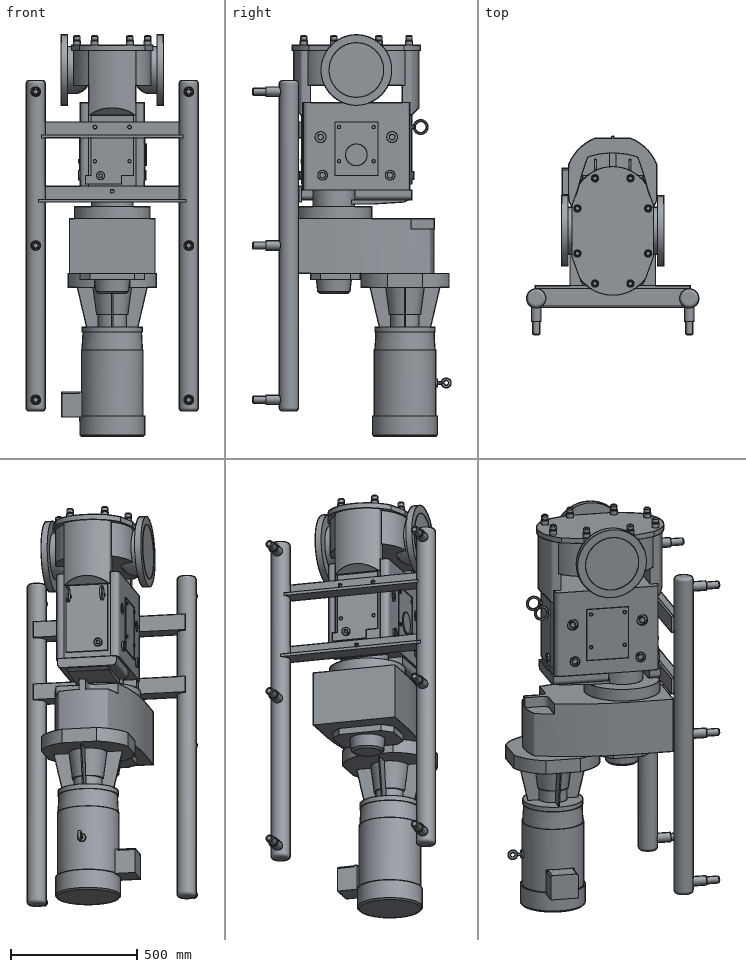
import cadquery as cq
import math


pump_y = 19.0
output_y = -70.0
motor_y = 211.0
post_spacing = 605.0
post_x = post_spacing / 2
post_y = -248.0

motor_top = 432.0
reducer_top = 910.0
height = 1590.0

bell_dia = 258.0
bell_height = 81.0
bell_chamfer = 6.0
stator_dia = 245.0
stator_top = 342.0
neck_low_dia = 240.0
neck_high_dia = 232.0
cap_dia = 238.0
cap_bottom = 413.0
box_reach = 200.0
box_width = 111.0
box_bottom = 76.0
box_top = 176.0
box_chamfer = 6.0
box_flange_reach = 132.0
box_inner = 120.0
motor_eye_z = 211.0
motor_eye_mean_dia = 29.0
motor_eye_wire_dia = 10.7
motor_eye_collar_dia = 32.0
motor_eye_collar_thick = 6.0
eye_y_max = 395.0

adapter_half = 175.0
adapter_dia = 377.0
adapter_bottom = 590.0
case_bottom = 645.0
case_top = 862.0
case_half = 170.0
case_front = -238.0
case_back = 328.0
case_corner_x = 99.0
case_corner_y = 312.0
case_corner_round = 13.0
pocket_front = 235.0
pocket_floor = 820.0
pocket_round = 22.0
rib_width = 25.0
web_thick = 5.0
web_top_half = 138.0
web_low_half = 102.0
throat_dia = 113.0
throat_top = 482.0
cone_low_dia = 124.0
cone_high_dia = 153.0
collar_dia = 300.0
output_plate_half = 127.0
output_plate_front = -162.0
output_plate_back = 35.0
output_plate_chamfer = 40.0
output_plate_bottom = 620.0
output_cap_bottom = 566.0
output_cap_high_dia = 140.0
output_cap_low_dia = 127.0
output_cap_chamfer = 8.0

gear_half_x = 127.0
gear_half_y = 210.0
gear_bottom = 975.0
gear_top = 1321.0
gear_round = 19.0
shoulder_half = 94.0
shoulder_depth = 3.0
end_pad_half = 85.0
end_pad_back = 238.0
end_pad_bottom = 999.0
end_pad_top = 1270.0
end_pad_step = 1033.0
foot_left = -105.0
foot_right = 37.0
pump_front = -197.0
sump_bottom = 937.0
sump_half = 120.0
sump_round = 16.0
belly_half = 83.0
belly_back = 227.0
belly_slope_start = 207.0
belly_slope_z = 927.0
belly_low_z = 919.0
belly_low_start = 80.0
belly_front = 0.0
shaft_dia = 165.0
side_plate_width = 170.0
side_plate_bottom = 1033.0
side_plate_top = 1245.0
side_plate_thick = 3.0
screw_dia = 13.0
screw_height = 3.0
side_screw_y = 68.0
side_screw_low = 1089.0
side_screw_high = 1225.0
plug_dia = 38.0
plug_z = 1033.0
plug_y = 134.0
plug_height = 6.0
plug_socket_dia = 22.0
recess_z = 1185.0
recess_y = 142.0
recess_dia = 43.0
recess_depth = 13.0
recess_bolt_dia = 22.0
glass_dia = 86.0
glass_z = 1115.0
glass_height = 8.0
end_plug_x = -46.0
end_plug_dia = 32.0
end_plug_z = 1032.0
end_plug_height = 8.0
end_socket_dia = 15.0
front_screw_x = 68.0

head_bottom = 1390.0
cover_bottom = 1528.0
cover_top = 1549.0
cover_half_x = 160.0
cover_side_half = 103.0
cover_corner_x = 130.0
cover_corner_y = 188.0
cover_half_y = 255.0
rotor_offset = 70.0
rotor_case_dia = 308.0
leg_half_x = 94.0
leg_outer = 248.0
leg_edge = 216.0
leg_inner = 181.0
leg_bottom = 1272.0
leg_chamfer = 29.0
leg_round = 13.0
stud_outer = (70.0, 208.0)
stud_side = (140.0, 89.0)
nut_dia = 29.0
nut_height = 16.0
stud_neck_dia = 22.0
stud_neck_height = 5.0
stud_cap_dia = 25.0
stud_top = 1587.0
stud_chamfer = 5.0
port_flange_dia = 280.0
port_face_dia = 216.0
port_neck_dia = 188.0
port_cone_dia = 118.0
port_face_x = 204.0
port_flange_out = 202.0
port_flange_in = 176.0
port_cone_out = 142.0
port_cone_in = 95.0
port_bulge = 10.0
port_z = height - port_flange_dia / 2
pump_eye_x = 68.0
pump_eye_z = 1225.0
pump_eye_y = 273.0
pump_eye_mean_dia = 51.0
pump_eye_wire_dia = 7.8

post_dia = 76.0
post_bottom = 100.0
post_top = 1409.0
post_round = 13.0
peg_heights = (145.0, 755.0, 1365.0)
peg_dia = 38.0
peg_end = -339.0
tip_dia = 29.0
tip_end = -393.0
tip_chamfer = 5.0
beam_thick = 11.0
beam_height = 64.0
beam_back = pump_front
beam_half = 307.0
beam_hole_dia = 15.0
beam_hole_drop = 20.0
high_beam_bottom = 1181.0
high_beam_front = -278.0
low_beam_bottom = 927.0
low_beam_front = -285.0


def disc(dia, z_low, z_high, x=0.0, y=0.0):
    """Upright cylinder between two heights."""
    return cq.Workplane("XY", origin=(x, y, z_low)).circle(dia / 2).extrude(z_high - z_low)


def cone(low_dia, high_dia, z_low, z_high, y):
    """Upright truncated cone on the middle plane."""
    base = cq.Workplane("XY", origin=(0, y, z_low)).circle(low_dia / 2)
    return base.workplane(offset=z_high - z_low).circle(high_dia / 2).loft()


def block(x_range, y_range, z_range):
    """Box between two limits along each axis."""
    size = [high - low for low, high in (x_range, y_range, z_range)]
    low_corner = (x_range[0], y_range[0], z_range[0])
    return cq.Workplane("XY").box(*size, centered=False).translate(low_corner)


def rod_x(dia, x_start, x_end, y, z):
    """Cylinder along X."""
    return cq.Workplane("YZ", origin=(x_start, y, z)).circle(dia / 2).extrude(x_end - x_start)


def rod_y(dia, y_start, y_end, x, z):
    """Cylinder along Y, from its back end to its front end."""
    return cq.Workplane("XZ", origin=(x, y_start, z)).circle(dia / 2).extrude(y_start - y_end)


def eye_ring(mean_dia, wire_dia, x, y, z):
    """Ring lying in a plane square to X."""
    ring = cq.Solid.makeTorus(mean_dia / 2, wire_dia / 2, cq.Vector(x, y, z), cq.Vector(1, 0, 0))
    return cq.Workplane(ring)


def make_motor():
    body = disc(bell_dia, 0, bell_height, y=motor_y).faces("<Z").chamfer(bell_chamfer)
    body = body.union(disc(stator_dia, bell_height, stator_top, y=motor_y))
    body = body.union(cone(neck_low_dia, neck_high_dia, stator_top, cap_bottom, motor_y))
    body = body.union(disc(cap_dia, cap_bottom, motor_top, y=motor_y))
    sides = (motor_y - box_width / 2, motor_y + box_width / 2)
    box_flange = block((-box_flange_reach, -box_inner), sides, (box_bottom, box_top))
    box = block((-box_reach, -box_flange_reach), sides, (box_bottom, box_top))
    box = box.edges("|X and >Z").chamfer(box_chamfer)
    body = body.union(box_flange).union(box)
    return body.union(make_motor_eye())


def make_motor_eye():
    stator_back = motor_y + stator_dia / 2
    eye_y = eye_y_max - (motor_eye_mean_dia + motor_eye_wire_dia) / 2
    ring_low = eye_y - motor_eye_mean_dia / 2
    collar_back = stator_back + motor_eye_collar_thick
    eye = eye_ring(motor_eye_mean_dia, motor_eye_wire_dia, 0, eye_y, motor_eye_z)
    eye = eye.union(rod_y(motor_eye_wire_dia, ring_low, motor_y, 0, motor_eye_z))
    return eye.union(rod_y(motor_eye_collar_dia, collar_back, motor_y, 0, motor_eye_z))


def make_gear_housing():
    """Housing that narrows along large arcs from the output side to the motor side."""
    length = case_corner_y - output_y
    narrowing = case_half - case_corner_x
    arc_radius = (length**2 + narrowing**2) / (2 * narrowing)
    mid_y = output_y + length / 2
    mid_x = case_half - arc_radius + math.sqrt(arc_radius**2 - (length / 2) ** 2)
    housing = (
        cq.Workplane("XY", origin=(0, 0, case_bottom))
        .moveTo(-case_half, case_front)
        .lineTo(case_half, case_front)
        .lineTo(case_half, output_y)
        .threePointArc((mid_x, mid_y), (case_corner_x, case_corner_y))
        .threePointArc((0, case_back), (-case_corner_x, case_corner_y))
        .threePointArc((-mid_x, mid_y), (-case_half, output_y))
        .close()
        .extrude(case_top - case_bottom)
    )
    for side in (-1, 1):
        corner = cq.selectors.NearestToPointSelector(
            (side * case_corner_x, case_corner_y, (case_bottom + case_top) / 2)
        )
        housing = housing.edges(corner).fillet(case_corner_round)
    return housing


def make_pocket(side):
    """Pocket beside the middle rib in the top of the housing."""
    x_range = sorted((side * rib_width / 2, side * 2 * case_half))
    pocket = block(x_range, (pocket_front, 2 * case_back), (pocket_floor, case_top))
    mid_z = (pocket_floor + case_top) / 2
    inner_corner = cq.selectors.NearestToPointSelector((side * rib_width / 2, pocket_front, mid_z))
    return pocket.edges("|Z").edges(inner_corner).fillet(pocket_round)


def make_adapter():
    """Flange with four flats, and the cone and crossed webs that lead to the motor."""
    flats = (-adapter_half, adapter_half)
    flange = disc(adapter_dia, adapter_bottom, case_bottom, y=motor_y).intersect(
        block(flats, (motor_y - adapter_half, motor_y + adapter_half), (adapter_bottom, case_bottom))
    )
    web = (
        cq.Workplane("XZ", origin=(0, motor_y + web_thick / 2, 0))
        .polyline(
            [
                (-web_low_half, motor_top),
                (web_low_half, motor_top),
                (web_top_half, adapter_bottom),
                (-web_top_half, adapter_bottom),
            ]
        )
        .close()
        .extrude(web_thick)
    )
    crossed_web = web.rotate((0, motor_y, 0), (0, motor_y, 1), 90)
    throat = disc(throat_dia, motor_top, throat_top, y=motor_y)
    funnel = cone(cone_low_dia, cone_high_dia, throat_top, adapter_bottom, motor_y)
    return flange.union(web).union(crossed_web).union(throat).union(funnel)


def make_output_cover():
    """Plate with cut corners and tapered cap under the output shaft."""
    plate = block(
        (-output_plate_half, output_plate_half),
        (output_plate_front, output_plate_back),
        (output_plate_bottom, case_bottom),
    )
    plate = plate.edges("|Z").chamfer(output_plate_chamfer)
    cap = cone(output_cap_low_dia, output_cap_high_dia, output_cap_bottom, output_plate_bottom, output_y)
    return plate.union(cap.faces("<Z").chamfer(output_cap_chamfer))


def make_reducer():
    body = make_gear_housing()
    for side in (-1, 1):
        body = body.cut(make_pocket(side))
    body = body.union(make_adapter()).union(make_output_cover())
    return body.union(disc(collar_dia, case_top, reducer_top, y=output_y))


def make_cover():
    """End cover with flat sides, slanted corners and a round back and front."""
    return (
        cq.Workplane("XY", origin=(0, pump_y, cover_bottom))
        .moveTo(-cover_half_x, -cover_side_half)
        .lineTo(-cover_corner_x, -cover_corner_y)
        .threePointArc((0, -cover_half_y), (cover_corner_x, -cover_corner_y))
        .lineTo(cover_half_x, -cover_side_half)
        .lineTo(cover_half_x, cover_side_half)
        .lineTo(cover_corner_x, cover_corner_y)
        .threePointArc((0, cover_half_y), (-cover_corner_x, cover_corner_y))
        .lineTo(-cover_half_x, cover_side_half)
        .close()
        .extrude(cover_top - cover_bottom)
    )


def make_rotor_case():
    """Casing around the two rotors, as wide as one of them."""
    return (
        cq.Workplane("XY", origin=(0, pump_y, head_bottom))
        .slot2D(2 * rotor_offset + rotor_case_dia, rotor_case_dia, 90)
        .extrude(cover_bottom - head_bottom)
    )


def make_leg(side):
    """Upright with a round outer face, chamfered at its foot, on the back or front of the head."""
    leg = (
        cq.Workplane("XY", origin=(0, pump_y, leg_bottom))
        .moveTo(-leg_half_x, side * leg_inner)
        .lineTo(leg_half_x, side * leg_inner)
        .lineTo(leg_half_x, side * leg_edge)
        .threePointArc((0, side * leg_outer), (-leg_half_x, side * leg_edge))
        .close()
        .extrude(cover_bottom - leg_bottom)
    )
    leg = leg.edges("|Z").edges(">Y" if side > 0 else "<Y").fillet(leg_round)
    outer_y = pump_y + side * leg_outer
    foot_cut = (
        cq.Workplane("YZ", origin=(-leg_half_x, 0, 0))
        .polyline(
            [
                (outer_y, leg_bottom),
                (outer_y, leg_bottom + leg_chamfer),
                (outer_y - side * leg_chamfer, leg_bottom),
            ]
        )
        .close()
        .extrude(2 * leg_half_x)
    )
    return leg.cut(foot_cut)


def make_cover_stud(x, y):
    neck_bottom = cover_top + nut_height
    cap_low = neck_bottom + stud_neck_height
    stud = disc(nut_dia, cover_top, neck_bottom, x, y)
    stud = stud.union(disc(stud_neck_dia, neck_bottom, cap_low, x, y))
    return stud.union(disc(stud_cap_dia, cap_low, stud_top, x, y).faces(">Z").chamfer(stud_chamfer))


def make_port():
    """Flanged port on the -X side that tapers into the rotor casing."""
    face = rod_x(port_face_dia, -port_face_x, -port_flange_out, pump_y, port_z)
    flange = rod_x(port_flange_dia, -port_flange_out, -port_flange_in, pump_y, port_z)
    neck = rod_x(port_neck_dia, -port_flange_in, -port_cone_out, pump_y, port_z)
    outer_radius = port_neck_dia / 2
    inner_radius = port_cone_dia / 2
    bulge_x = (port_cone_in + port_cone_out - port_bulge) / 2
    bulge_radius = (outer_radius + inner_radius + port_bulge) / 2
    taper = (
        cq.Workplane("XY", origin=(0, pump_y, port_z))
        .moveTo(-port_cone_out, 0)
        .lineTo(-port_cone_out, outer_radius)
        .threePointArc((-bulge_x, bulge_radius), (-port_cone_in, inner_radius))
        .lineTo(-port_cone_in, 0)
        .close()
        .revolve(360, (0, 0, 0), (1, 0, 0))
    )
    return face.union(flange).union(neck).union(taper)


def make_head():
    head = make_rotor_case().union(make_cover())
    port = make_port()
    head = head.union(port).union(port.mirror("YZ"))
    for y_side in (-1, 1):
        head = head.union(make_leg(y_side))
        for x, y in (stud_outer, stud_side):
            for x_side in (-1, 1):
                head = head.union(make_cover_stud(x_side * x, pump_y + y_side * y))
    return head


def make_gear_case():
    y_range = (pump_y - gear_half_y, pump_y + gear_half_y)
    case = block((-gear_half_x, gear_half_x), y_range, (gear_bottom, gear_top))
    case = case.edges("|Z").fillet(gear_round)
    shoulder_y = (y_range[0] - shoulder_depth, y_range[1] + shoulder_depth)
    case = case.union(block((-shoulder_half, shoulder_half), shoulder_y, (gear_bottom, gear_top)))
    pad_x = (-end_pad_half, end_pad_half)
    case = case.union(block(pad_x, (pump_y, end_pad_back), (end_pad_bottom, end_pad_top)))
    case = case.union(block(pad_x, (pump_front, pump_y), (end_pad_step, end_pad_top)))
    foot = block((foot_left, foot_right), (pump_front, pump_y), (end_pad_bottom, end_pad_step))
    return case.union(foot)


def make_sump():
    """Rounded sump under the gear case, its sloping belly and the neck around the shaft."""
    shaft_radius = shaft_dia / 2
    sump_lengths = ((pump_front, output_y - shaft_radius), (output_y + shaft_radius, end_pad_back))
    sump = cq.Workplane("XY")
    for y_range in sump_lengths:
        trough = block((-sump_half, sump_half), y_range, (sump_bottom, gear_bottom))
        sump = sump.union(trough.edges("|Y and <Z").fillet(sump_round))
    belly = (
        cq.Workplane("YZ", origin=(-belly_half, 0, 0))
        .polyline(
            [
                (belly_back, sump_bottom),
                (belly_slope_start, belly_slope_z),
                (belly_low_start, belly_low_z),
                (belly_front, belly_low_z),
                (belly_front, sump_bottom),
            ]
        )
        .close()
        .extrude(2 * belly_half)
    )
    return sump.union(belly).union(disc(shaft_dia, reducer_top, gear_bottom, y=output_y))


def make_side_fittings(side):
    """Cover plate, screws and plugs on one side of the gear case."""
    plate_x = gear_half_x + side_plate_thick
    half_width = side_plate_width / 2
    fittings = block(
        sorted((side * gear_half_x, side * plate_x)),
        (pump_y - half_width, pump_y + half_width),
        (side_plate_bottom, side_plate_top),
    )
    for y_side in (-1, 1):
        for z in (side_screw_low, side_screw_high):
            screw_y = pump_y + y_side * side_screw_y
            screw_end = side * (plate_x + screw_height)
            fittings = fittings.union(rod_x(screw_dia, side * gear_half_x, screw_end, screw_y, z))
        y = pump_y + y_side * plug_y
        plug_end = gear_half_x + plug_height
        plug = rod_x(plug_dia, side * gear_half_x, side * plug_end, y, plug_z)
        socket = rod_x(plug_socket_dia, side * gear_half_x, side * plug_end, y, plug_z)
        fittings = fittings.union(plug.cut(socket))
    return fittings


def make_side_recesses(side):
    """Counterbored recesses, each around a bolt head."""
    recesses = cq.Workplane("XY")
    for y_side in (-1, 1):
        y = pump_y + y_side * recess_y
        floor_x = side * (gear_half_x - recess_depth)
        recess = rod_x(recess_dia, floor_x, side * gear_half_x, y, recess_z)
        bolt = rod_x(recess_bolt_dia, floor_x, side * gear_half_x, y, recess_z)
        recesses = recesses.add(recess.cut(bolt))
    return recesses


def make_pump_eye(x):
    """Lifting ring on the back of the gear case."""
    ring = eye_ring(pump_eye_mean_dia, pump_eye_wire_dia, x, pump_eye_y, pump_eye_z)
    shank_end = pump_eye_y - pump_eye_mean_dia / 2
    return ring.union(rod_y(screw_dia, shank_end, pump_y, x, pump_eye_z))


def make_end_fittings():
    """Socketed plug on each end of the gear case, and two screws on its front."""
    front = pump_front - end_plug_height
    back = end_pad_back + end_plug_height
    fittings = rod_y(end_plug_dia, back, front, end_plug_x, end_plug_z)
    for socket_back, socket_front in ((back, end_pad_back), (pump_front, front)):
        socket = rod_y(end_socket_dia, socket_back, socket_front, end_plug_x, end_plug_z)
        fittings = fittings.cut(socket)
    for x in (-front_screw_x, front_screw_x):
        fittings = fittings.union(rod_y(screw_dia, pump_y, pump_front - screw_height, x, side_screw_low))
    return fittings


def make_pump():
    body = make_gear_case().union(make_sump()).union(make_head()).union(make_end_fittings())
    for side in (-1, 1):
        body = body.union(make_side_fittings(side))
        for recess in make_side_recesses(side).vals():
            body = body.cut(cq.Workplane(recess))
        body = body.union(make_pump_eye(side * pump_eye_x))
    glass = rod_x(glass_dia, gear_half_x, gear_half_x + glass_height, pump_y, glass_z)
    return body.union(glass)


def make_post(x):
    """Post with three stepped pegs on its front."""
    post = disc(post_dia, post_bottom, post_top, x, post_y).faces("<Z or >Z").fillet(post_round)
    for z in peg_heights:
        peg = rod_y(peg_dia, post_y, peg_end, x, z)
        tip = rod_y(tip_dia, peg_end, tip_end, x, z).faces("<Y").chamfer(tip_chamfer)
        post = post.union(peg).union(tip)
    return post


def make_beam(bottom, front, hole_places):
    """Angle beam: an upright leg drilled at the given X places, and a shelf along its bottom."""
    top = bottom + beam_height
    upright = block((-beam_half, beam_half), (beam_back - beam_thick, beam_back), (bottom, top))
    shelf = block((-post_x, post_x), (front, beam_back), (bottom, bottom + beam_thick))
    beam = upright.union(shelf)
    for x in hole_places:
        beam = beam.cut(rod_y(beam_hole_dia, beam_back, beam_back - beam_thick, x, top - beam_hole_drop))
    return beam


def make_frame():
    frame = make_beam(high_beam_bottom, high_beam_front, (-front_screw_x, front_screw_x))
    frame = frame.union(make_beam(low_beam_bottom, low_beam_front, (0,)))
    for x in (-post_x, post_x):
        frame = frame.union(make_post(x))
    return frame


motor = make_motor()
reducer = make_reducer()
pump = make_pump()
frame = make_frame()

result = cq.Compound.makeCompound([motor.val(), reducer.val(), pump.val(), frame.val()])